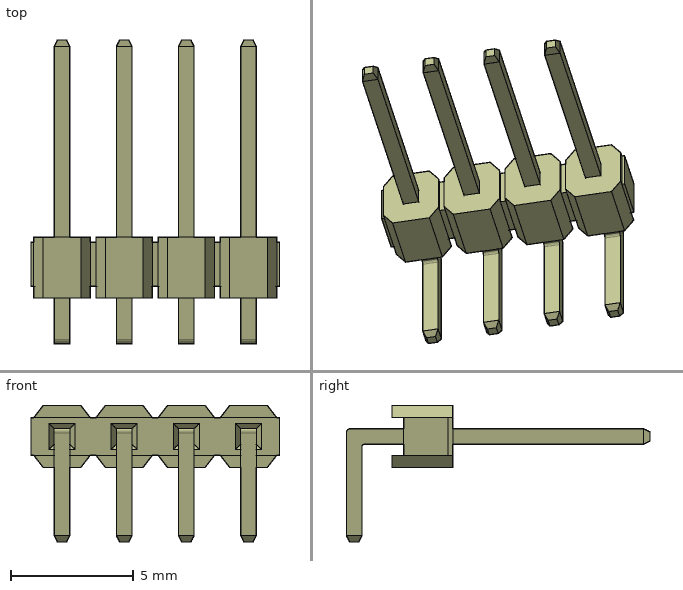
import cadquery as cq

PIN_COUNT = 4
ROW_LENGTH = 10.16
PITCH = ROW_LENGTH / PIN_COUNT

PIN_WIDTH = 0.65
PIN_LENGTH = 12.42
TOTAL_HEIGHT = 5.59
OUTER_BEND_RADIUS = 0.17
INNER_BEND_RADIUS = 0.1
TIP_LENGTH = 0.27
TIP_INSET = 0.14

BLOCK_HEIGHT = PITCH
BLOCK_WIDTH = 2.31
BLOCK_FRONT = 1.86
BLOCK_BACK = 4.36
BEVEL_WIDTH = 0.39
RAIL_HEIGHT = 1.54
RAIL_FRONT = 2.35
RAIL_BACK = 4.15

FUNNEL_WIDTH = 1.05
FUNNEL_DEPTH = (FUNNEL_WIDTH - PIN_WIDTH) / 2

PIN_TOP = PIN_WIDTH / 2
LEG_BOTTOM = BLOCK_HEIGHT / 2 - TOTAL_HEIGHT
PIN_CENTRES = [(i - (PIN_COUNT - 1) / 2) * PITCH for i in range(PIN_COUNT)]


def make_box(width, front, back, bottom, top):
    """Box centred on X = 0 between the given Y and Z limits."""
    return cq.Workplane("XY").box(width, back - front, top - bottom).translate(
        (0, (front + back) / 2, (bottom + top) / 2)
    )


def make_block():
    """Octagonal block whose front is cleared at rail height, leaving two overhanging lips."""
    half_width = BLOCK_WIDTH / 2
    half_height = BLOCK_HEIGHT / 2
    half_rail = RAIL_HEIGHT / 2
    half_top = half_width - BEVEL_WIDTH
    outline = [
        (half_top, half_height),
        (half_width, half_rail),
        (half_width, -half_rail),
        (half_top, -half_height),
        (-half_top, -half_height),
        (-half_width, -half_rail),
        (-half_width, half_rail),
        (-half_top, half_height),
    ]
    block = (
        cq.Workplane("XZ", origin=(0, BLOCK_FRONT, 0))
        .polyline(outline)
        .close()
        .extrude(BLOCK_FRONT - BLOCK_BACK)
    )
    return block.cut(make_box(BLOCK_WIDTH, BLOCK_FRONT, RAIL_FRONT, -half_rail, half_rail))


def make_funnel():
    """Tapered recess narrowing from the rail's front face down to the pin section."""
    return (
        cq.Workplane("XZ", origin=(0, RAIL_FRONT, 0))
        .rect(FUNNEL_WIDTH, FUNNEL_WIDTH)
        .workplane(offset=-FUNNEL_DEPTH)
        .rect(PIN_WIDTH, PIN_WIDTH)
        .loft(ruled=True)
    )


def make_pin_hole():
    """Square passage through the rail and block that fits the pin exactly."""
    return make_box(PIN_WIDTH, RAIL_FRONT, BLOCK_BACK, -PIN_TOP, PIN_TOP)


def make_housing():
    """Rail with all blocks joined to it and a funnelled hole for every pin."""
    housing = make_box(ROW_LENGTH, RAIL_FRONT, RAIL_BACK, -RAIL_HEIGHT / 2, RAIL_HEIGHT / 2)
    block = make_block()
    opening = make_funnel().union(make_pin_hole())
    for x in PIN_CENTRES:
        housing = housing.union(block.translate((x, 0, 0)))
    for x in PIN_CENTRES:
        housing = housing.cut(opening.translate((x, 0, 0)))
    return housing


def make_tip():
    """Truncated pyramid standing on Z = 0, narrowing upwards from the pin section."""
    end_width = PIN_WIDTH - 2 * TIP_INSET
    return (
        cq.Workplane("XY")
        .rect(PIN_WIDTH, PIN_WIDTH)
        .workplane(offset=TIP_LENGTH)
        .rect(end_width, end_width)
        .loft(ruled=True)
    )


def make_pin():
    """Right-angle square pin with a rounded bend and tapered tips at both ends."""
    mating_shoulder = PIN_LENGTH - TIP_LENGTH
    leg_shoulder = LEG_BOTTOM + TIP_LENGTH
    mating_arm = make_box(PIN_WIDTH, 0, mating_shoulder, -PIN_TOP, PIN_TOP)
    soldering_leg = make_box(PIN_WIDTH, 0, PIN_WIDTH, leg_shoulder, PIN_TOP)
    tip = make_tip()
    mating_tip = tip.rotate((0, 0, 0), (1, 0, 0), -90).translate((0, mating_shoulder, 0))
    leg_tip = tip.rotate((0, 0, 0), (1, 0, 0), 180).translate((0, PIN_WIDTH / 2, leg_shoulder))
    pin = mating_arm.union(soldering_leg).union(mating_tip).union(leg_tip).clean()
    outer_corner = cq.selectors.NearestToPointSelector((0, 0, PIN_TOP))
    inner_corner = cq.selectors.NearestToPointSelector((0, PIN_WIDTH, -PIN_TOP))
    pin = pin.edges("|X").edges(outer_corner).fillet(OUTER_BEND_RADIUS)
    return pin.edges("|X").edges(inner_corner).fillet(INNER_BEND_RADIUS)


housing = make_housing()
pin = make_pin()
pins = [pin.translate((x, 0, 0)).val() for x in PIN_CENTRES]

result = cq.Compound.makeCompound([housing.val(), *pins])